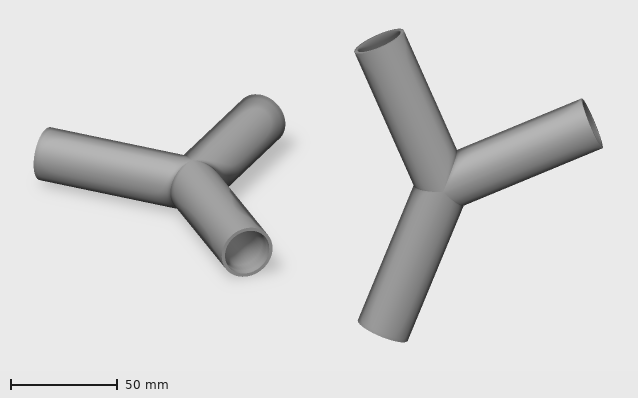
import cadquery as cq
import math

outer_diameter = 25.4
bore_diameter = 22.1
tube_length = 76.2

stem_angle = 0
branch_angle = 135
stem_miter_angle = (stem_angle + branch_angle) / 2
branch_miter_angle = 180

wedge_reach = 3 * tube_length


def direction(angle):
    return math.cos(math.radians(angle)), math.sin(math.radians(angle))


def full_tube(angle):
    """Square-ended tube running outward from the joint centre."""
    x, y = direction(angle)
    axis_plane = cq.Plane(origin=(0, 0, 0), xDir=(0, 0, 1), normal=(x, y, 0))
    return (
        cq.Workplane(axis_plane)
        .circle(outer_diameter / 2)
        .circle(bore_diameter / 2)
        .extrude(tube_length)
    )


def miter_wedge(first_angle, axis_angle, last_angle):
    """Prism over the sector between two miter planes, with its tip at the joint centre."""
    corners = [(0, 0)]
    for angle in (first_angle, axis_angle, last_angle):
        x, y = direction(angle)
        corners.append((wedge_reach * x, wedge_reach * y))
    return cq.Workplane("XY").polyline(corners).close().extrude(outer_diameter, both=True)


def mitred_tube(first_miter, axis_angle, last_miter):
    return full_tube(axis_angle).intersect(miter_wedge(first_miter, axis_angle, last_miter))


stem = mitred_tube(-stem_miter_angle, stem_angle, stem_miter_angle)

branches = []
for side in (1, -1):
    branch = mitred_tube(side * stem_miter_angle, side * branch_angle, side * branch_miter_angle)
    branches.append(branch.val())

result = cq.Compound.makeCompound([stem.val(), *branches])